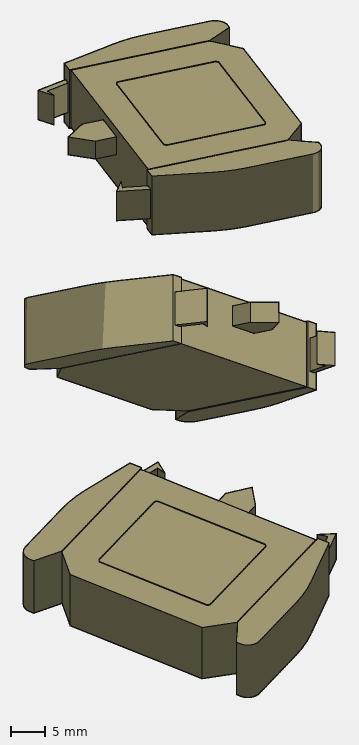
import cadquery as cq
import math

overall_width = 40.0
wing_length = 26.0
wing_height = 10.0
wing_round = 2.0
wing_bend_y = 11.2
wing_bend_round = 20.0
notch_depth = 4.0
notch_angle = 60.0
taper_angle = 15.0

body_width = 30.0
body_end_inset = 0.3
body_face_inset = 0.1

recess_width = 19.0
recess_length = 16.0
recess_depth = 0.1
recess_round = 0.5

hook_height = 5.0
hook_thickness = 1.0
hook_outer_x = 16.5
hook_drop = 4.85
barb_reach = 1.6
barb_length = 1.0
hook_root = 0.8

tongue_width = 5.1
tongue_height = 3.05
tongue_shoulder_y = -3.05
tongue_tip_y = -6.25
tongue_top_gap = 1.5

half_width = overall_width / 2
half_body = body_width / 2
half_height = wing_height / 2
taper = math.radians(taper_angle)


def prism(points, height, base_z):
    """Closed XY outline extruded upward from base_z."""
    return cq.Workplane("XY").workplane(offset=base_z).polyline(points).close().extrude(height)


def make_body():
    front_y = body_end_inset
    back_y = wing_length - body_end_inset
    notch_y = wing_length - notch_depth
    corner_cut = back_y - notch_y
    outline = [
        (-half_body, front_y),
        (half_body, front_y),
        (half_body, notch_y),
        (half_body - corner_cut, back_y),
        (corner_cut - half_body, back_y),
        (-half_body, notch_y),
    ]
    height = wing_height - 2 * body_face_inset
    body = prism(outline, height, -height / 2)
    recess = (
        cq.Workplane("XY")
        .workplane(offset=height / 2 - recess_depth)
        .center(0, wing_length / 2)
        .rect(recess_width, recess_length)
        .extrude(recess_depth)
        .edges("|Z")
        .fillet(recess_round)
    )
    return body.cut(recess)


def make_left_wing():
    notch_run = notch_depth / math.tan(math.radians(notch_angle))
    front_x = -half_width + wing_bend_y * math.tan(taper)
    outline = [
        (-half_body, 0),
        (-half_body, wing_length - notch_depth),
        (-half_body - notch_run, wing_length),
        (-half_width, wing_length),
        (-half_width, wing_bend_y),
        (front_x, 0),
    ]
    wing = prism(outline, wing_height, -half_height)
    back_corner = cq.selectors.NearestToPointSelector((-half_width, wing_length, 0))
    bend = cq.selectors.NearestToPointSelector((-half_width, wing_bend_y, 0))
    wing = wing.edges(back_corner).fillet(wing_round)
    return wing.edges(bend).fillet(wing_bend_round)


def make_left_hook():
    arm_length = hook_drop / math.cos(taper) + hook_root
    outline = [
        (0, 0),
        (hook_thickness + barb_reach, barb_length),
        (hook_thickness, barb_length),
        (hook_thickness, arm_length),
        (0, arm_length),
    ]
    tip_x = -hook_outer_x + hook_drop * math.tan(taper)
    hook = prism(outline, hook_height, -hook_height / 2)
    return hook.rotate((0, 0, 0), (0, 0, 1), taper_angle).translate((tip_x, -hook_drop, 0))


def make_tongue():
    half_tongue = tongue_width / 2
    outline = [
        (-half_tongue, body_end_inset),
        (-half_tongue, tongue_shoulder_y),
        (0, tongue_tip_y),
        (half_tongue, tongue_shoulder_y),
        (half_tongue, body_end_inset),
    ]
    return prism(outline, tongue_height, half_height - tongue_top_gap - tongue_height)


left_side = make_left_wing().union(make_left_hook())
right_side = left_side.mirror("YZ")
result = make_body().union(left_side).union(right_side).union(make_tongue())